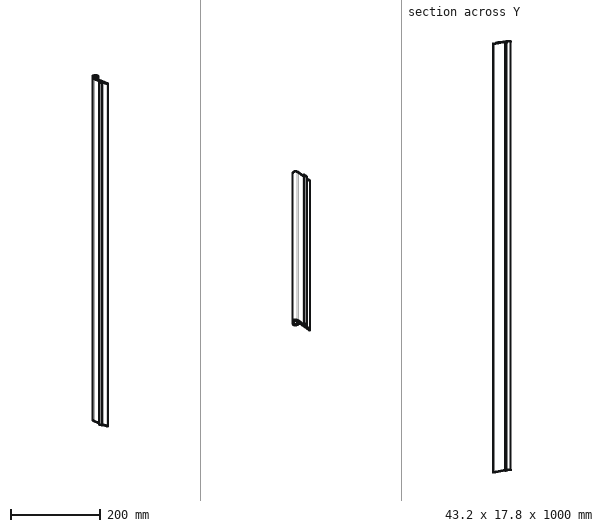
import cadquery as cq
import math

length = 1000.0
width = 43.2
depth = 17.8

tube_diameter = 14.0
bore_diameter = 8.0

web_thickness = 3.0
web_end_radius = 1.0
slope_angle = 10.4

rib_height = 3.3
rib_left = 1.6
rib_width = 8.0
rib_root_radius = 1.0

x_min = -width / 2
x_max = width / 2
y_front = -depth / 2
y_back = depth / 2

tube_radius = tube_diameter / 2
tube_x = x_min + tube_radius
tube_y = y_back - tube_radius

web_front = y_front + rib_height
web_back = web_front + web_thickness
rib_right = rib_left + rib_width

web_meets_tube_x = tube_x + math.sqrt(tube_radius**2 - (web_back - tube_y) ** 2)

slope = math.radians(slope_angle)
slope_start_x = tube_x - tube_radius * math.sin(slope)
slope_start_y = tube_y - tube_radius * math.cos(slope)
slope_end_x = slope_start_x + (slope_start_y - web_front) / math.tan(slope)

tube_far_point = (tube_x - tube_radius * math.sin(slope), tube_y + tube_radius * math.cos(slope))


def section_outline():
    """Closed outer outline of the section, starting where the web's back face meets the tube."""
    outline = cq.Workplane("XY").workplane(offset=-length / 2)

    outline = outline.moveTo(web_meets_tube_x, web_back)
    outline = outline.lineTo(x_max, web_back)
    outline = outline.lineTo(x_max, web_front + web_end_radius)
    outline = outline.radiusArc((x_max - web_end_radius, web_front), web_end_radius)

    outline = outline.lineTo(rib_right + rib_root_radius, web_front)
    outline = outline.radiusArc((rib_right, web_front - rib_root_radius), -rib_root_radius)
    outline = outline.lineTo(rib_right, y_front)
    outline = outline.lineTo(rib_left, y_front)
    outline = outline.lineTo(rib_left, web_front - rib_root_radius)
    outline = outline.radiusArc((rib_left - rib_root_radius, web_front), -rib_root_radius)

    outline = outline.lineTo(slope_end_x, web_front)
    outline = outline.lineTo(slope_start_x, slope_start_y)
    outline = outline.threePointArc(tube_far_point, (web_meets_tube_x, web_back))
    return outline.close()


def tube_bore():
    """Cylinder that opens the tube along its whole length."""
    base = cq.Workplane("XY").workplane(offset=-length / 2)
    return base.center(tube_x, tube_y).circle(bore_diameter / 2).extrude(length)


result = section_outline().extrude(length).cut(tube_bore())